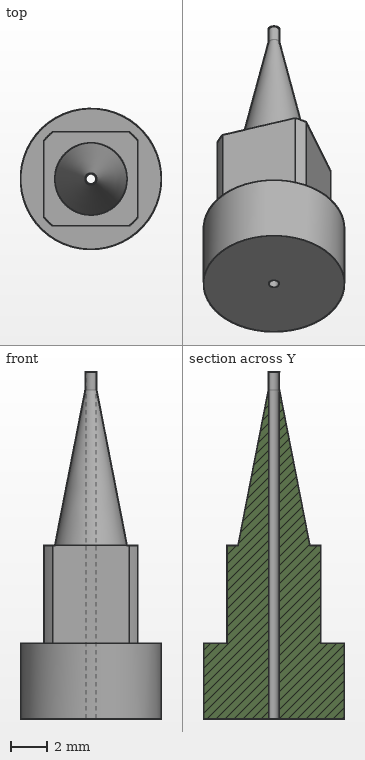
import cadquery as cq

collar_diameter = 7.8
collar_height = 4.2

square_width = 5.2
square_height = 5.4
square_corner_diameter = 6.7

cone_base_diameter = 4.0
cone_height = 8.6
tip_diameter = 0.64
tip_length = 1.0

bore_diameter = 0.56

square_base_z = collar_height
cone_base_z = square_base_z + square_height
tip_base_z = cone_base_z + cone_height
total_height = tip_base_z + tip_length


def cylinder(diameter, base_z, height):
    """Upright cylinder on the Z axis."""
    return cq.Workplane("XY").workplane(offset=base_z).circle(diameter / 2).extrude(height)


def square_section():
    """Square block whose four vertical corners are rounded by a larger circle."""
    block = (
        cq.Workplane("XY")
        .workplane(offset=square_base_z)
        .rect(square_width, square_width)
        .extrude(square_height)
    )
    return block.intersect(cylinder(square_corner_diameter, square_base_z, square_height))


def cone():
    """Taper from the top of the square section to the tip diameter."""
    return (
        cq.Workplane("XZ")
        .moveTo(0, cone_base_z)
        .lineTo(cone_base_diameter / 2, cone_base_z)
        .lineTo(tip_diameter / 2, tip_base_z)
        .lineTo(0, tip_base_z)
        .close()
        .revolve(360, (0, 0), (0, 1))
    )


body = cylinder(collar_diameter, 0, collar_height)
body = body.union(square_section())
body = body.union(cone())
body = body.union(cylinder(tip_diameter, tip_base_z, tip_length))

result = body.cut(cylinder(bore_diameter, 0, total_height))